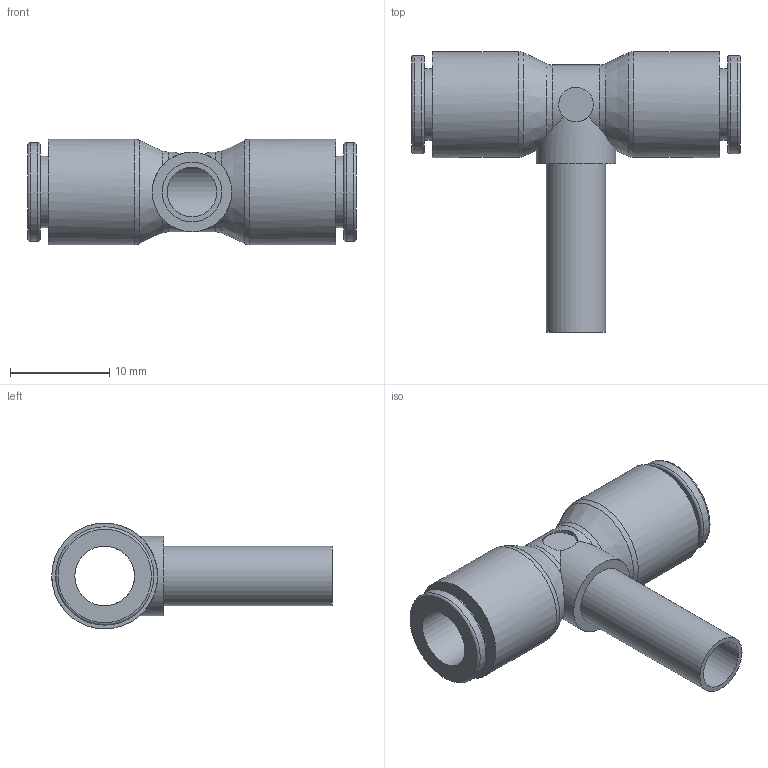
import cadquery as cq

body_length = 28.9
body_diameter = 10.65
neck_diameter = 8.0
taper_inner_x = 2.67
taper_outer_x = 5.51
taper_blend_radius = 1.3

overall_length = 33.11
collar_sleeve_diameter = 7.2
collar_flange_diameter = 9.9
collar_flange_width = 1.3
collar_edge_radius = 0.25
run_bore_diameter = 6.0

boss_diameter = neck_diameter
boss_reach = 5.95
stem_diameter = 6.0
stem_bore_diameter = 5.0
overall_depth = 28.23
stem_reach = overall_depth - body_diameter / 2

recess_diameter = 3.5
recess_floor_z = 3.55


def cylinder_along_x(diameter, x_start, x_end):
    return cq.Workplane("YZ", origin=(x_start, 0, 0)).circle(diameter / 2).extrude(x_end - x_start)


def branch_cylinder(diameter, reach):
    """Cylinder from the run axis out to y = -reach."""
    return cq.Workplane("XZ").circle(diameter / 2).extrude(reach)


def make_body():
    """Two barrels joined by a slimmer neck, with blended tapers between them."""
    half_length = body_length / 2
    barrel_radius = body_diameter / 2
    neck_radius = neck_diameter / 2
    profile = [
        (-half_length, 0),
        (-half_length, barrel_radius),
        (-taper_outer_x, barrel_radius),
        (-taper_inner_x, neck_radius),
        (taper_inner_x, neck_radius),
        (taper_outer_x, barrel_radius),
        (half_length, barrel_radius),
        (half_length, 0),
    ]
    body = cq.Workplane("XY").polyline(profile).close().revolve(360, (0, 0, 0), (1, 0, 0))
    taper_zone = cq.selectors.BoxSelector(
        (-half_length / 2, -body_diameter, -body_diameter),
        (half_length / 2, body_diameter, body_diameter),
    )
    taper_ends = body.edges("%CIRCLE").edges(taper_zone)
    return taper_ends.fillet(taper_blend_radius)


def make_collar():
    """Release collar at the +X end: a sleeve with a round-edged flange."""
    end_x = overall_length / 2
    flange_x = end_x - collar_flange_width
    sleeve = cylinder_along_x(collar_sleeve_diameter, body_length / 2, flange_x)
    flange = cylinder_along_x(collar_flange_diameter, flange_x, end_x)
    flange = flange.edges("%CIRCLE").fillet(collar_edge_radius)
    return sleeve.union(flange)


def make_recess():
    height = body_diameter / 2 - recess_floor_z
    return cq.Workplane("XY", origin=(0, 0, recess_floor_z)).circle(recess_diameter / 2).extrude(height)


right_collar = make_collar()
left_collar = right_collar.mirror("YZ")
run_bore = cylinder_along_x(run_bore_diameter, -overall_length / 2, overall_length / 2)

result = (
    make_body()
    .union(right_collar)
    .union(left_collar)
    .union(branch_cylinder(boss_diameter, boss_reach))
    .union(branch_cylinder(stem_diameter, stem_reach))
    .cut(run_bore)
    .cut(branch_cylinder(stem_bore_diameter, stem_reach))
    .cut(make_recess())
)